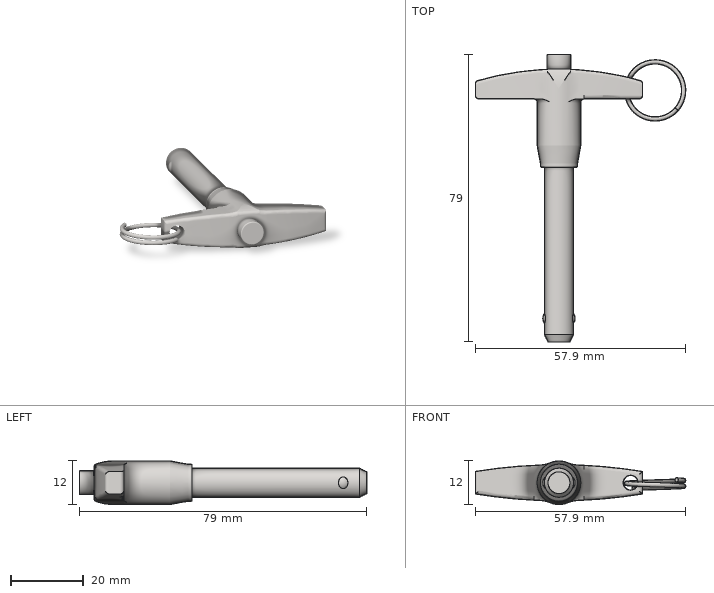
import cadquery as cq
import math


hub_radius = 6.0
collar_radius = 5.1
collar_length = 1.0
collar_rounding = 0.4
taper_end = 6.0
nose_start = 21.6
nose_arc_radius = 14.0

crown = 27.03
arm_base = 18.8
arm_reach = 23.0
crown_arc_radius = 80.0
bar_half_thickness = 4.98
tip_half_thickness = 3.1
edge_rounding = 1.0
sharp_base_reach = 6.9
hub_blend_radius = 9.0
root_fillet = 1.0

ring_hole_x = 19.7
ring_hole_radius = 2.0

pin_radius = 4.0
pin_length = 48.0
pin_tip_radius = 3.0
pin_tip_length = 2.0
ball_radius = 2.0
ball_reach = 4.47
ball_y = -41.5

button_radius = 3.3
button_end = 31.03
button_rounding = 0.3

ring_x = 26.42
ring_y = 21.15
ring_outer_radius = 8.44
wire_radius = 0.6
ring_pitch = 1.56
ring_turns = 1.5
ring_first_angle = 139.0
ring_first_z = -1.55

crown_arc_center = crown - crown_arc_radius


def crown_height(x):
    """Y of the arched top of the handle at a given X."""
    return crown_arc_center + math.sqrt(crown_arc_radius**2 - x**2)


def arched_block(base, reach):
    """Thick block of the given half width, from the base Y up to the arched top."""
    tip = crown_height(reach)
    return (
        cq.Workplane("XY")
        .moveTo(-reach, base)
        .lineTo(reach, base)
        .lineTo(reach, tip)
        .threePointArc((0, crown), (-reach, tip))
        .close()
        .extrude(hub_radius, both=True)
    )


def handle_plan():
    """Outline across the pin axis: hub circle running into both thinning arms through blends."""
    rise = bar_half_thickness - tip_half_thickness
    face_radius = (arm_reach**2 + rise**2) / (2 * rise)
    face_center = bar_half_thickness - face_radius

    to_hub = hub_radius + hub_blend_radius
    to_face = face_radius + hub_blend_radius
    blend_z = (face_center**2 - to_face**2 + to_hub**2) / (2 * face_center)
    blend_x = math.sqrt(to_hub**2 - blend_z**2)

    hub_x = blend_x * hub_radius / to_hub
    hub_z = blend_z * hub_radius / to_hub
    face_x = blend_x * face_radius / to_face
    face_z = face_center + (blend_z - face_center) * face_radius / to_face
    middle_x = (hub_x + face_x) / 2
    middle_z = blend_z - math.sqrt(hub_blend_radius**2 - (blend_x - middle_x) ** 2)
    arm_x = (face_x + arm_reach) / 2
    arm_z = face_center + math.sqrt(face_radius**2 - arm_x**2)

    plan = cq.Workplane("XZ").moveTo(-arm_reach, -tip_half_thickness)
    for side in (-1, 1):
        plan = (
            plan.threePointArc((side * arm_x, side * arm_z), (side * face_x, side * face_z))
            .threePointArc((side * middle_x, side * middle_z), (side * hub_x, side * hub_z))
            .threePointArc((0, side * hub_radius), (-side * hub_x, side * hub_z))
            .threePointArc((-side * middle_x, side * middle_z), (-side * face_x, side * face_z))
            .threePointArc((-side * arm_x, side * arm_z), (-side * arm_reach, side * tip_half_thickness))
        )
        if side < 0:
            plan = plan.lineTo(arm_reach, tip_half_thickness)
    return plan.close()


def nose_block():
    """Block across the handle whose +Z and -Z sides curve in towards the top."""
    def nose_z(y):
        return hub_radius - nose_arc_radius + math.sqrt(nose_arc_radius**2 - (y - nose_start) ** 2)

    middle = (nose_start + crown) / 2
    return (
        cq.Workplane("YZ")
        .moveTo(0, -hub_radius)
        .lineTo(nose_start, -hub_radius)
        .threePointArc((middle, -nose_z(middle)), (crown, -nose_z(crown)))
        .lineTo(crown, nose_z(crown))
        .threePointArc((middle, nose_z(middle)), (nose_start, hub_radius))
        .lineTo(0, hub_radius)
        .close()
        .extrude(arm_reach, both=True)
    )


def make_grip():
    """Domed hub top and both arms, with their rounded edges."""
    raw = (
        handle_plan()
        .extrude(-crown)
        .intersect(arched_block(arm_base, arm_reach))
        .intersect(nose_block())
    )
    raw = raw.faces(">Y").edges().fillet(edge_rounding)
    rounded = raw.faces("<Y").edges().fillet(edge_rounding)

    sharp = raw.faces("<Y").edges("|Z").fillet(edge_rounding)
    near_hub = cq.Workplane("XY").box(2 * sharp_base_reach, 2 * crown, 2 * hub_radius)
    upper_left = (
        cq.Workplane("XY")
        .box(arm_reach, 2 * crown, hub_radius, centered=(False, True, False))
        .translate((-arm_reach, 0, 0))
    )
    return rounded.union(sharp.intersect(near_hub.union(upper_left)))


def make_collar():
    """Turned front of the hub: rounded collar, taper and straight length up to the arms."""
    return (
        cq.Workplane("XY")
        .lineTo(collar_radius, 0)
        .lineTo(collar_radius, collar_length)
        .lineTo(hub_radius, taper_end)
        .lineTo(hub_radius, arm_base)
        .lineTo(0, arm_base)
        .close()
        .revolve(360, (0, 0, 0), (0, 1, 0))
        .faces("<Y")
        .edges()
        .fillet(collar_rounding)
    )


def make_root_fillet():
    """Concave fillet ring where the arms meet the hub, kept within the handle outline."""
    root_start = arm_base - root_fillet
    bulge = root_fillet * (1 - math.sqrt(0.5))
    ring = (
        cq.Workplane("XY")
        .moveTo(hub_radius - root_fillet, root_start)
        .lineTo(hub_radius, root_start)
        .threePointArc(
            (hub_radius + bulge, arm_base - bulge),
            (hub_radius + root_fillet, arm_base),
        )
        .lineTo(hub_radius - root_fillet, arm_base)
        .close()
        .revolve(360, (0, 0, 0), (0, 1, 0))
    )
    return ring.intersect(handle_plan().extrude(-crown))


def make_handle():
    """T-handle: turned hub, two arms and the ring hole through the right arm."""
    ring_hole = (
        cq.Workplane("XZ")
        .center(ring_hole_x, 0)
        .circle(ring_hole_radius)
        .extrude(-crown)
    )
    return make_grip().union(make_collar()).union(make_root_fillet()).cut(ring_hole)


def make_pin():
    """Shank with a coned tip and a locking ball showing on each side."""
    pin = (
        cq.Workplane("XY")
        .lineTo(pin_radius, 0)
        .lineTo(pin_radius, pin_tip_length - pin_length)
        .lineTo(pin_tip_radius, -pin_length)
        .lineTo(0, -pin_length)
        .close()
        .revolve(360, (0, 0, 0), (0, 1, 0))
    )
    for side in (-1, 1):
        ball_x = side * (ball_reach - ball_radius)
        pin = pin.union(cq.Workplane("XY").sphere(ball_radius).translate((ball_x, ball_y, 0)))
    return pin


def make_button():
    """Release button standing on the arched top of the handle."""
    button = (
        cq.Workplane("XZ")
        .circle(button_radius)
        .extrude(-button_end)
        .faces(">Y")
        .edges()
        .fillet(button_rounding)
    )
    return button.cut(arched_block(0, arm_reach))


def make_ring():
    """Open coil of round wire that winds downwards counterclockwise, seen from +Z."""
    coil_radius = ring_outer_radius - wire_radius
    path = cq.Wire.makeHelix(ring_pitch, ring_pitch * ring_turns, coil_radius, lefthand=True)
    coil = (
        cq.Workplane("XZ")
        .center(coil_radius, 0)
        .circle(wire_radius)
        .sweep(cq.Workplane(path), isFrenet=True)
    )
    return coil.rotate((0, 0, 0), (0, 0, 1), ring_first_angle).translate((ring_x, ring_y, ring_first_z))


handle = make_handle()
pin = make_pin()
button = make_button()
ring = make_ring()

bodies = (handle, pin, button, ring)
result = cq.Compound.makeCompound([body.solids().val() for body in bodies])